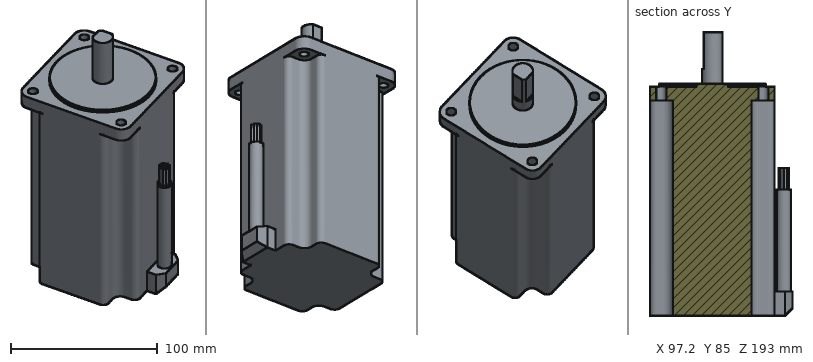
import cadquery as cq
import math

total_height = 193.0
motor_width = 85.0
half_width = motor_width / 2

flange_top = 156.0
flange_thickness = 9.6
flange_bottom = flange_top - flange_thickness
flange_corner_radius = 7.5
bolt_spacing = 69.5
bolt_hole_diameter = 6.5
pilot_diameter = 73.0
pilot_height = 2.0
pilot_chamfer = 0.5
pilot_top = flange_top + pilot_height

notch_depth = 15.6
notch_outer_radius = 4.2
notch_inner_radius = 6.2

shaft_diameter = 14.0
flat_depth = 1.2
flat_length = 25.0

cable_offset = 6.2
outlet_reach = 12.2
outlet_width = 26.5
outlet_height = 16.6
outlet_chamfer = 5.0
cable_x = half_width + cable_offset
cable_diameter = 9.8
cable_top = 85.9
wire_top = 100.5
wire_diameter = 2.1
wire_ring_radius = 2.7
ring_wire_count = 7


def body_prism(x_size, y_size):
    """Rectangular column of the body height, centered on the motor axis."""
    return cq.Workplane("XY").rect(x_size, y_size).extrude(flange_bottom)


def make_body():
    """Square column with a rounded notch along each vertical edge."""
    bar_width = motor_width - 2 * notch_depth
    x_bar = body_prism(motor_width, bar_width).edges("|Z").fillet(notch_outer_radius)
    y_bar = body_prism(bar_width, motor_width).edges("|Z").fillet(notch_outer_radius)
    core_width = bar_width + 2 * notch_inner_radius
    notches = (
        cq.Workplane("XY")
        .rect(motor_width, motor_width, forConstruction=True)
        .vertices()
        .rect(2 * notch_depth, 2 * notch_depth)
        .extrude(flange_bottom)
        .edges("|Z")
        .fillet(notch_inner_radius)
    )
    core = body_prism(core_width, core_width).cut(notches)
    return core.union(x_bar).union(y_bar)


def make_flange():
    """Rounded mounting plate with a raised pilot and four bolt holes."""
    plate = (
        cq.Workplane("XY", origin=(0, 0, flange_bottom))
        .rect(motor_width, motor_width)
        .extrude(flange_thickness)
        .edges("|Z")
        .fillet(flange_corner_radius)
    )
    pilot = (
        cq.Workplane("XY", origin=(0, 0, flange_top))
        .circle(pilot_diameter / 2)
        .extrude(pilot_height)
        .faces(">Z")
        .chamfer(pilot_chamfer)
    )
    holes = (
        cq.Workplane("XY", origin=(0, 0, flange_bottom))
        .rect(bolt_spacing, bolt_spacing, forConstruction=True)
        .vertices()
        .circle(bolt_hole_diameter / 2)
        .extrude(flange_thickness)
    )
    return plate.union(pilot).cut(holes)


def make_shaft():
    """Shaft with flats on its -X and +Y sides at the upper end."""
    shaft = (
        cq.Workplane("XY", origin=(0, 0, pilot_top))
        .circle(shaft_diameter / 2)
        .extrude(total_height - pilot_top)
    )
    flat_zone = cq.Workplane("XY", origin=(0, 0, total_height - flat_length))
    flatted_section = (
        flat_zone.center(flat_depth, -flat_depth)
        .rect(shaft_diameter, shaft_diameter)
        .extrude(flat_length)
    )
    full_section = flat_zone.rect(shaft_diameter, shaft_diameter).extrude(flat_length)
    return shaft.cut(full_section.cut(flatted_section))


def make_cable_outlet():
    """Block on the +X side, chamfered on three edges of its outer face."""
    return (
        cq.Workplane("XY")
        .center(half_width + outlet_reach / 2, 0)
        .rect(outlet_reach, outlet_width)
        .extrude(outlet_height)
        .edges("(>X and |Z) or (>X and <Z)")
        .chamfer(outlet_chamfer)
    )


def make_cable():
    """Upright cable with one central wire and a ring of wires at its end."""
    cable = (
        cq.Workplane("XY", origin=(cable_x, 0, outlet_height))
        .circle(cable_diameter / 2)
        .extrude(cable_top - outlet_height)
    )
    wire_positions = [(0, 0)]
    for index in range(ring_wire_count):
        angle = math.pi / 2 + index * 2 * math.pi / ring_wire_count
        wire_positions.append((wire_ring_radius * math.cos(angle), wire_ring_radius * math.sin(angle)))
    wires = (
        cq.Workplane("XY", origin=(cable_x, 0, cable_top))
        .pushPoints(wire_positions)
        .circle(wire_diameter / 2)
        .extrude(wire_top - cable_top)
    )
    return cable.union(wires)


result = (
    make_body()
    .union(make_flange())
    .union(make_shaft())
    .union(make_cable_outlet())
    .union(make_cable())
)